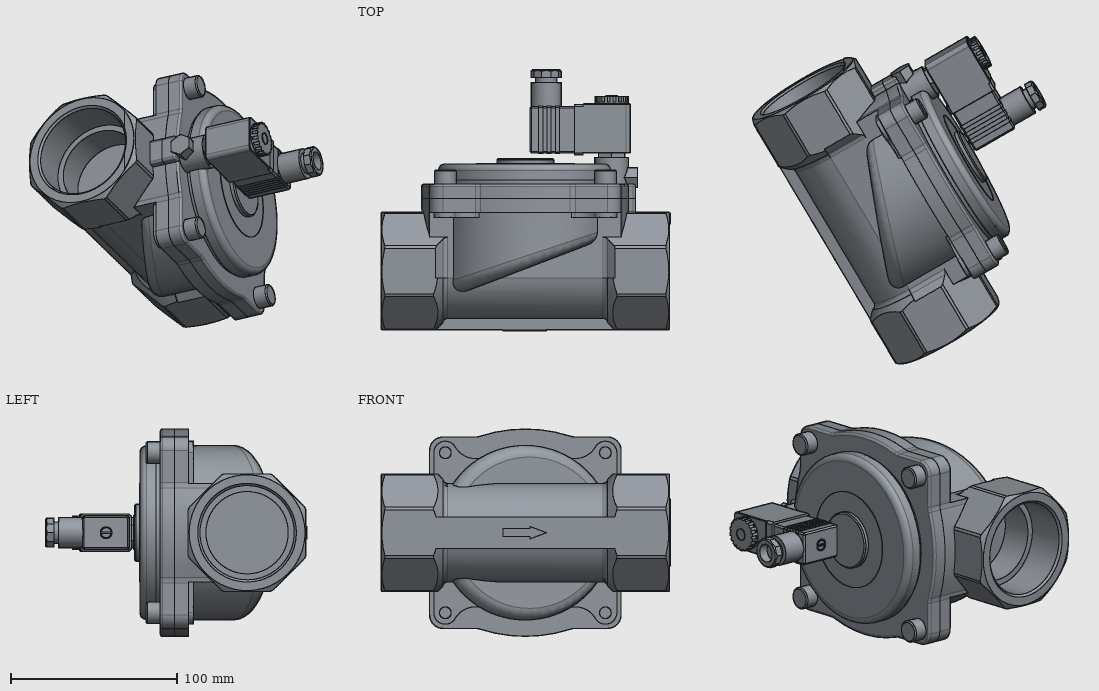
import cadquery as cq
import math


HALF_LENGTH = 86.65
ACROSS_FLATS = 70.8
FLAT_RADIUS = ACROSS_FLATS / 2
CORNER_RADIUS = 37.95
END_FACE_RADIUS = 34.8
END_CHAMFER = 2.2
PIPE_RADIUS = 30.0
NECK_START = 46.7
NECK_LENGTH = 2.8
PIPE_FLARE = 2.4
WALL_FLARE = 1.2
BEVEL_RISE = 12.0
RIB_WIDTH = 18.8

THREAD_DIAMETER = 56.66
THREAD_DEPTH = 25.0
PORT_DIAMETER = 49.5
PORT_DEPTH = 45.0
PORT_CHAMFER = 1.3

MARK_HEIGHT = 0.5
ARROW_TAIL = -13.5
ARROW_NECK = 2.9
ARROW_TIP = 12.7
ARROW_SHAFT_WIDTH = 4.8
ARROW_HEAD_WIDTH = 7.4
MARK_BAND_INNER_RADIUS = 29.6
MARK_BAND_BOTTOM = 28.4

FLANGE_BOTTOM = 35.1
SPLIT_LEVEL = 43.6
FLANGE_TOP = 52.2
FLANGE_HALF = 57.6
FLANGE_CORNER = 8.2
BULGE_REACH = 62.35
BULGE_RADIUS = 87.6
BULGE_BLEND = 10.1
FLANGE_EDGE_FILLET = 1.4
BUMP_REACH = 66.3
BUMP_HALF_WIDTH = 8.0
BUMP_FILLET = 1.6

COLUMN_HALF_WIDTH = 29.7
DOME_RADIUS = 52.5
DOME_SLOPE = math.radians(20.9)
DOME_CENTRE_LEVEL = 1.4
DOME_FILLET = 7.0

SCREW_OFFSET = 48.1
SCREW_HEAD_DIAMETER = 13.2
SCREW_HEAD_TOP = 60.8
SCREW_HEAD_CHAMFER = 0.8
SHANK_DIAMETER = 6.9
SCREW_HOLE_DIAMETER = 7.1
PAD_BOTTOM = 32.3
PAD_RADIUS = 6.9
PAD_BLEND_RADIUS = 14.0
PAD_BLEND_ANGLE = math.radians(60)
PAD_INNER_X = 26.0

CAP_BASE = 54.6
CAP_TOP = 64.4
CAP_RADIUS = 52.2
CAP_FOOT_RADIUS = 50.5
CAP_FILLET = 4.0
DISC_RADIUS = 29.5
DISC_TOP = 64.7
BUTTON_RADIUS = 17.2
BUTTON_TOP = 67.6
BUTTON_CHAMFER = 0.8

PILOT_X = 51.9
PILOT_DIAMETER = 20.4
PILOT_TOP = 68.3
PILOT_HEX_FLATS = 15.9
PILOT_PORT_FLATS = 11.9
PILOT_PORT_LEVEL = 56.15
PILOT_PORT_END = 67.5

COIL_LEFT = 34.7
COIL_RIGHT = 63.2
COIL_BOTTOM = 70.8
COIL_TOP = 100.6
COIL_HALF_WIDTH = 11.3
COIL_CORNER = 2.8
COIL_EDGE = 0.5
NUT_COLLAR_DIAMETER = 20.2
NUT_COLLAR_HEIGHT = 0.9
NUT_TOP = 105.0
NUT_GROOVES = 18
NUT_GROOVE_DIAMETER = 1.7
STEM_DIAMETER = 7.1
STEM_TOP = 105.5

GASKET_LEFT = 29.6
GASKET_BOTTOM = 69.6
GASKET_TOP = 100.2
GASKET_CHAMFER = 1.4
PLUG_LEFT = 2.8
PLUG_BOTTOM = 70.9
PLUG_TOP = 98.9
PLUG_HALF_WIDTH = 10.0
PLUG_CHAMFER = 1.0
RIB_HEIGHT = 0.25
RIB_THICKNESS = 2.5
RIB_PITCH = 5.0
FIRST_RIB_X = 9.3
RIB_COUNT = 3
PLUG_SCREW_LEVEL = 84.7
PLUG_SCREW_DIAMETER = 6.0
PLUG_SCREW_RECESS = 7.1
PLUG_SCREW_DEPTH = 1.0
PLUG_SCREW_SLOT = 1.0
GLAND_X = 12.55
GLAND_DIAMETER = 18.3
GLAND_TOP = 113.2
GLAND_NECK_DIAMETER = 13.0
GLAND_NUT_BOTTOM = 116.2
GLAND_NUT_TOP = 121.05
GLAND_NUT_SIDES = 10
GLAND_NUT_CHAMFER = 1.0
CABLE_BORE_DIAMETER = 11.0
CABLE_BORE_DEPTH = 6.0


def level(y):
    """Workplane across the Y axis, with local axes X and Z; extruding by (low - high) goes up."""
    return cq.Workplane(cq.Plane(origin=(0, y, 0), xDir=(1, 0, 0), normal=(0, -1, 0)))


def cylinder(x, z, diameter, bottom, top):
    return level(bottom).center(x, z).circle(diameter / 2).extrude(bottom - top)


def block(x0, x1, y0, y1, half_width):
    return (
        cq.Workplane("XY", origin=((x0 + x1) / 2, (y0 + y1) / 2, 0))
        .box(x1 - x0, y1 - y0, 2 * half_width)
    )


def both_ends(shape):
    return shape.union(shape.mirror("YZ"))


def screw_places():
    return [(sx * SCREW_OFFSET, sz * SCREW_OFFSET) for sx in (-1, 1) for sz in (-1, 1)]


def flange_outline(y):
    """Rounded square whose four sides each swell into a shallow blended arc."""
    bulge_centre = BULGE_REACH - BULGE_RADIUS
    blend_z = FLANGE_HALF + BULGE_BLEND
    reach = BULGE_RADIUS + BULGE_BLEND
    blend_x = math.sqrt(reach**2 - (blend_z - bulge_centre) ** 2)
    tangent_angle = math.asin(blend_x / reach)
    tangent_x = BULGE_RADIUS * math.sin(tangent_angle)
    tangent_z = bulge_centre + BULGE_RADIUS * math.cos(tangent_angle)
    blend_mid_x = blend_x - BULGE_BLEND * math.sin(tangent_angle / 2)
    blend_mid_z = blend_z - BULGE_BLEND * math.cos(tangent_angle / 2)
    corner = FLANGE_HALF - FLANGE_CORNER
    corner_mid = corner + FLANGE_CORNER * math.sqrt(0.5)

    def turned(point, quarter):
        x, z = point
        for _ in range(quarter):
            x, z = z, -x
        return x, z

    outline = level(y).moveTo(-corner, FLANGE_HALF)
    for quarter in range(4):
        outline = (
            outline.lineTo(*turned((-blend_x, FLANGE_HALF), quarter))
            .threePointArc(
                turned((-blend_mid_x, blend_mid_z), quarter), turned((-tangent_x, tangent_z), quarter)
            )
            .threePointArc(turned((0, BULGE_REACH), quarter), turned((tangent_x, tangent_z), quarter))
            .threePointArc(
                turned((blend_mid_x, blend_mid_z), quarter), turned((blend_x, FLANGE_HALF), quarter)
            )
            .lineTo(*turned((corner, FLANGE_HALF), quarter))
            .threePointArc(
                turned((corner_mid, corner_mid), quarter), turned((FLANGE_HALF, corner), quarter)
            )
        )
    return outline.close()


def flange(bottom, top):
    return flange_outline(bottom).extrude(bottom - top)


def pilot_bump(bottom, top):
    """Bump on the +X side of the flange, below the pilot column."""
    return block(PILOT_X, BUMP_REACH, bottom, top, BUMP_HALF_WIDTH).edges("|Y and >X").fillet(BUMP_FILLET)


def neck_profile(radius, flare):
    """Half section of pipe or wall: straight, flaring in an arc, then a 45 degree bevel."""
    neck_end = NECK_START + NECK_LENGTH
    bevel_end = neck_end + BEVEL_RISE
    top = radius + flare + BEVEL_RISE
    return (
        cq.Workplane("XY")
        .lineTo(0, radius)
        .lineTo(NECK_START, radius)
        .tangentArcPoint((neck_end, radius + flare), relative=False)
        .lineTo(bevel_end, top)
        .lineTo(HALF_LENGTH, top)
        .lineTo(HALF_LENGTH, 0)
        .close()
    )


def octagon_bar():
    """Octagonal bar with turned corners and chamfered ends."""
    octagon = (
        cq.Workplane("YZ", origin=(-HALF_LENGTH, 0, 0))
        .polygon(8, ACROSS_FLATS, circumscribed=True)
        .extrude(2 * HALF_LENGTH)
    )
    turned_half = (
        cq.Workplane("XY")
        .lineTo(0, CORNER_RADIUS)
        .lineTo(HALF_LENGTH - END_CHAMFER, CORNER_RADIUS)
        .lineTo(HALF_LENGTH, END_FACE_RADIUS)
        .lineTo(HALF_LENGTH, 0)
        .close()
        .revolve(360, (0, 0, 0), (1, 0, 0))
    )
    return octagon.intersect(both_ends(turned_half))


def pipe_body():
    """Octagonal ends joined by a round pipe whose upper part has flat side walls."""
    wall_start = -math.sqrt(PIPE_RADIUS**2 - COLUMN_HALF_WIDTH**2)
    round_half = (
        neck_profile(PIPE_RADIUS, PIPE_FLARE)
        .revolve(360, (0, 0, 0), (1, 0, 0))
        .intersect(block(0, HALF_LENGTH, -2 * FLAT_RADIUS, wall_start, 2 * FLAT_RADIUS))
    )
    wall = (
        neck_profile(COLUMN_HALF_WIDTH, WALL_FLARE)
        .extrude(-CORNER_RADIUS + wall_start)
        .rotate((0, 0, 0), (1, 0, 0), 90)
        .translate((0, wall_start, 0))
    )
    walls = wall.union(wall.mirror("XY"))
    return octagon_bar().intersect(both_ends(round_half.union(walls)))


def bottom_rib():
    reach = NECK_START + 3 * NECK_LENGTH
    return block(-reach, reach, -FLAT_RADIUS, 0, RIB_WIDTH / 2)


def column():
    """Straight-sided column between the flange and the pipe."""
    return flange(0, FLANGE_BOTTOM).intersect(
        block(-FLANGE_HALF * 2, FLANGE_HALF * 2, 0, FLANGE_BOTTOM, COLUMN_HALF_WIDTH)
    )


def dome():
    """Upright cylinder ending below in a sloping face with a rounded rim."""
    low = DOME_CENTRE_LEVEL - DOME_RADIUS
    below = (
        cq.Workplane("XY")
        .box(DOME_RADIUS * 4, DOME_RADIUS * 2, DOME_RADIUS * 3)
        .translate((0, -DOME_RADIUS, 0))
        .rotate((0, 0, 0), (0, 0, 1), math.degrees(DOME_SLOPE))
        .translate((0, DOME_CENTRE_LEVEL, 0))
    )
    return cylinder(0, 0, 2 * DOME_RADIUS, low, FLANGE_BOTTOM).cut(below).edges("<Y").fillet(DOME_FILLET)


def screw_pad():
    """Pad under one flange corner, sweeping from round the screw in to the dome."""
    c = SCREW_OFFSET
    blend = PAD_RADIUS + PAD_BLEND_RADIUS
    angle = PAD_BLEND_ANGLE
    touch = (c - PAD_RADIUS * math.sin(angle), c + PAD_RADIUS * math.cos(angle))
    hollow = (c - blend * math.sin(angle), c + blend * math.cos(angle))
    hollow_mid = (
        hollow[0] + PAD_BLEND_RADIUS * math.sin(angle / 2),
        hollow[1] - PAD_BLEND_RADIUS * math.cos(angle / 2),
    )
    hollow_end = (hollow[0], hollow[1] - PAD_BLEND_RADIUS)
    return (
        level(PAD_BOTTOM)
        .moveTo(c + PAD_RADIUS, 0)
        .lineTo(c + PAD_RADIUS, c)
        .threePointArc((c + PAD_RADIUS * math.sin(angle / 2), c + PAD_RADIUS * math.cos(angle / 2)), touch)
        .threePointArc(hollow_mid, hollow_end)
        .lineTo(PAD_INNER_X, hollow_end[1])
        .lineTo(PAD_INNER_X, 0)
        .close()
        .extrude(PAD_BOTTOM - FLANGE_BOTTOM)
    )


def screw_pads():
    pair = both_ends(screw_pad())
    return pair.union(pair.mirror("XY"))


def port(side):
    """Threaded socket with a chamfered mouth and a narrower passage behind it."""
    mouth = HALF_LENGTH
    return (
        cq.Workplane("XY")
        .moveTo(mouth, 0)
        .lineTo(mouth, THREAD_DIAMETER / 2 + PORT_CHAMFER)
        .lineTo(mouth - PORT_CHAMFER, THREAD_DIAMETER / 2)
        .lineTo(mouth - THREAD_DEPTH, THREAD_DIAMETER / 2)
        .lineTo(mouth - THREAD_DEPTH, PORT_DIAMETER / 2)
        .lineTo(mouth - PORT_DEPTH, PORT_DIAMETER / 2)
        .lineTo(mouth - PORT_DEPTH, 0)
        .close()
        .revolve(360, (0, 0, 0), (1, 0, 0))
        .rotate((0, 0, 0), (0, 1, 0), 0 if side > 0 else 180)
    )


def flow_arrow():
    shaft = ARROW_SHAFT_WIDTH / 2
    head = ARROW_HEAD_WIDTH / 2
    return (
        level(-FLAT_RADIUS)
        .moveTo(ARROW_TAIL, -shaft)
        .lineTo(ARROW_NECK, -shaft)
        .lineTo(ARROW_NECK, -head)
        .lineTo(ARROW_TIP, 0)
        .lineTo(ARROW_NECK, head)
        .lineTo(ARROW_NECK, shaft)
        .lineTo(ARROW_TAIL, shaft)
        .close()
        .extrude(MARK_HEIGHT)
    )


def mark_band():
    """Raised band on the upper part of the +X end face."""
    ring = (
        cq.Workplane("YZ", origin=(HALF_LENGTH, 0, 0))
        .circle(END_FACE_RADIUS)
        .circle(MARK_BAND_INNER_RADIUS)
        .extrude(MARK_HEIGHT)
    )
    upper = block(0, 2 * HALF_LENGTH, MARK_BAND_BOTTOM, 2 * FLAT_RADIUS, FLAT_RADIUS)
    return ring.intersect(upper)


def make_housing():
    body = pipe_body().union(bottom_rib()).union(column()).union(dome())
    body = body.union(flange(FLANGE_BOTTOM, SPLIT_LEVEL)).union(screw_pads())
    body = body.union(pilot_bump(0, SPLIT_LEVEL))
    body = body.union(flow_arrow()).union(mark_band())
    for side in (-1, 1):
        body = body.cut(port(side))
    for x, z in screw_places():
        body = body.cut(cylinder(x, z, SCREW_HOLE_DIAMETER, PAD_BOTTOM, SPLIT_LEVEL))
    return body


def cap():
    """Shallow round cap with a rounded rim, standing on a narrower foot and carrying a button."""
    dome_top = cylinder(0, 0, 2 * CAP_RADIUS, CAP_BASE, CAP_TOP).faces(">Y").edges().fillet(CAP_FILLET)
    foot = cylinder(0, 0, 2 * CAP_FOOT_RADIUS, FLANGE_TOP, CAP_BASE)
    disc = cylinder(0, 0, 2 * DISC_RADIUS, CAP_TOP, DISC_TOP)
    button = cylinder(0, 0, 2 * BUTTON_RADIUS, DISC_TOP, BUTTON_TOP).faces(">Y").chamfer(BUTTON_CHAMFER)
    return dome_top.union(foot).union(disc).union(button)


def cover_screw(x, z):
    """Screw head on the cover with its shank down to the underside of the housing pad."""
    head = cylinder(x, z, SCREW_HEAD_DIAMETER, FLANGE_TOP, SCREW_HEAD_TOP)
    head = head.faces(">Y").chamfer(SCREW_HEAD_CHAMFER)
    return head.union(cylinder(x, z, SHANK_DIAMETER, PAD_BOTTOM, FLANGE_TOP))


def pilot_column():
    """Round pilot column with a hexagonal side plug and a hexagon under the coil."""
    post = cylinder(PILOT_X, 0, PILOT_DIAMETER, SPLIT_LEVEL, PILOT_TOP)
    neck = (
        level(PILOT_TOP)
        .center(PILOT_X, 0)
        .polygon(6, PILOT_HEX_FLATS, circumscribed=True)
        .extrude(PILOT_TOP - COIL_BOTTOM)
    )
    side_plug = (
        cq.Workplane("YZ", origin=(PILOT_X, PILOT_PORT_LEVEL, 0))
        .polygon(6, PILOT_PORT_FLATS, circumscribed=True)
        .extrude(PILOT_PORT_END - PILOT_X)
    )
    return post.union(neck).union(side_plug)


def make_cover():
    plate = flange(SPLIT_LEVEL, FLANGE_TOP).union(pilot_bump(SPLIT_LEVEL, FLANGE_TOP))
    plate = plate.faces(">Y").edges().fillet(FLANGE_EDGE_FILLET)
    body = plate.union(cap()).union(pilot_column())
    for x, z in screw_places():
        body = body.union(cover_screw(x, z))
    return body


def coil():
    body = block(COIL_LEFT, COIL_RIGHT, COIL_BOTTOM, COIL_TOP, COIL_HALF_WIDTH)
    return body.edges("|Y and >X").fillet(COIL_CORNER).faces(">Y or <Y").edges().chamfer(COIL_EDGE)


def top_nut():
    """Fluted nut on a collar, with the end of the stem showing above it."""
    nut_bottom = COIL_TOP + NUT_COLLAR_HEIGHT
    collar = cylinder(PILOT_X, 0, NUT_COLLAR_DIAMETER, COIL_TOP, nut_bottom)
    grooves = (
        level(nut_bottom)
        .center(PILOT_X, 0)
        .polarArray(NUT_COLLAR_DIAMETER / 2, 0, 360, NUT_GROOVES)
        .circle(NUT_GROOVE_DIAMETER / 2)
        .extrude(nut_bottom - NUT_TOP)
    )
    nut = cylinder(PILOT_X, 0, NUT_COLLAR_DIAMETER, nut_bottom, NUT_TOP).cut(grooves)
    return collar.union(nut).union(cylinder(PILOT_X, 0, STEM_DIAMETER, COIL_TOP, STEM_TOP))


def plug():
    """Plug housing with raised ribs, a gasket frame against the coil and a slotted screw."""
    body = block(PLUG_LEFT, GASKET_LEFT, PLUG_BOTTOM, PLUG_TOP, PLUG_HALF_WIDTH)
    body = body.edges("|X").chamfer(PLUG_CHAMFER).faces("<X").edges().chamfer(PLUG_CHAMFER)
    for i in range(RIB_COUNT):
        x = FIRST_RIB_X + i * RIB_PITCH
        rib = block(
            x - RIB_THICKNESS / 2,
            x + RIB_THICKNESS / 2,
            PLUG_BOTTOM - RIB_HEIGHT,
            PLUG_TOP + RIB_HEIGHT,
            PLUG_HALF_WIDTH + RIB_HEIGHT,
        )
        body = body.union(rib.edges("|X").chamfer(PLUG_CHAMFER))
    gasket = block(GASKET_LEFT, COIL_LEFT, GASKET_BOTTOM, GASKET_TOP, COIL_HALF_WIDTH)
    body = body.union(gasket.edges("|X").chamfer(GASKET_CHAMFER))
    face = cq.Workplane("YZ", origin=(PLUG_LEFT, PLUG_SCREW_LEVEL, 0))
    body = body.cut(
        face.circle(PLUG_SCREW_RECESS / 2).circle(PLUG_SCREW_DIAMETER / 2).extrude(PLUG_SCREW_DEPTH)
    )
    return body.cut(face.rect(PLUG_SCREW_DIAMETER, PLUG_SCREW_SLOT).extrude(PLUG_SCREW_DEPTH))


def gland():
    """Cable gland: round barrel, narrow neck and a many-sided nut open at the top."""
    barrel = cylinder(GLAND_X, 0, GLAND_DIAMETER, PLUG_TOP - PLUG_CHAMFER, GLAND_TOP)
    neck = cylinder(GLAND_X, 0, GLAND_NECK_DIAMETER, GLAND_TOP, GLAND_NUT_BOTTOM)
    nut = (
        level(GLAND_NUT_BOTTOM)
        .center(GLAND_X, 0)
        .polygon(GLAND_NUT_SIDES, GLAND_DIAMETER)
        .extrude(GLAND_NUT_BOTTOM - GLAND_NUT_TOP)
    )
    rim = cylinder(GLAND_X, 0, GLAND_DIAMETER, GLAND_NUT_BOTTOM, GLAND_NUT_TOP)
    nut = nut.intersect(rim.faces(">Y").chamfer(GLAND_NUT_CHAMFER))
    cable_bore = cylinder(GLAND_X, 0, CABLE_BORE_DIAMETER, GLAND_NUT_TOP - CABLE_BORE_DEPTH, GLAND_NUT_TOP)
    return barrel.union(neck).union(nut).cut(cable_bore)


def make_solenoid():
    return coil().union(top_nut()).union(plug()).union(gland())


housing = make_housing()
cover = make_cover()
solenoid = make_solenoid()

result = cq.Compound.makeCompound([housing.val(), cover.val(), solenoid.val()])